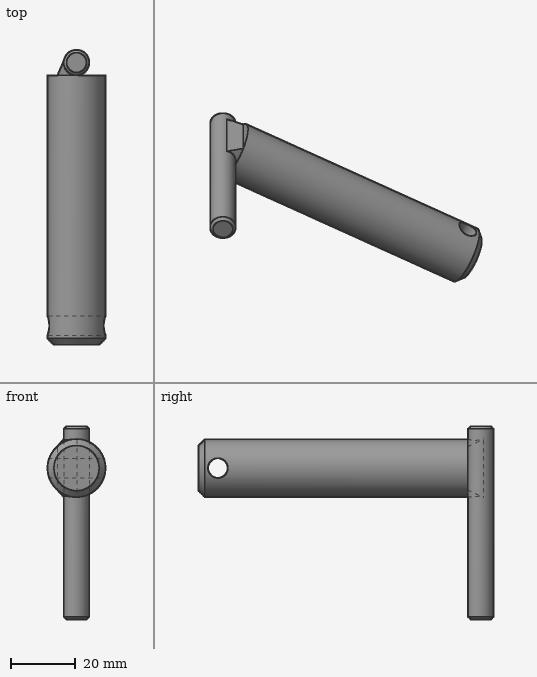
import cadquery as cq
import math

total_length = 91.5
pin_diameter = 18.0
pin_chamfer = 2.0
cross_hole_diameter = 6.0
cross_hole_end_distance = 6.0
handle_diameter = 8.0
handle_length = 60.0
handle_chamfer = 0.9
handle_above_pin = 4.0
weld_width = 5.95
weld_depth = 4.7

pin_radius = pin_diameter / 2
pin_length = total_length - handle_diameter
handle_radius = handle_diameter / 2
handle_top = pin_radius + handle_above_pin


def make_pin():
    """Round pin along Y with a chamfered front end and a cross hole along X."""
    pin = cq.Workplane("XZ").circle(pin_radius).extrude(pin_length)
    pin = pin.faces("<Y").chamfer(pin_chamfer)
    hole = (
        cq.Workplane("YZ")
        .center(cross_hole_end_distance - pin_length, 0)
        .circle(cross_hole_diameter / 2)
        .extrude(pin_radius, both=True)
    )
    return pin.cut(hole)


def make_handle():
    """Vertical rod, chamfered at both ends, touching the rear end of the pin."""
    return (
        cq.Workplane("XY", origin=(0, handle_radius, handle_top - handle_length))
        .circle(handle_radius)
        .extrude(handle_length)
        .faces("<Z or >Z")
        .chamfer(handle_chamfer)
    )


def pyramid(base, apex):
    """Solid that narrows in straight lines from a closed base wire to an apex point."""
    tip = cq.Vertex.makeVertex(*apex)
    return cq.Workplane(obj=cq.occ_impl.shapes.loft(base, tip, cap=True, ruled=True))


def make_weld(handle):
    """Weld filling the corner beside the handle.

    Its foot on the pin end follows the pin's round edge. From there it narrows to
    a straight vertical edge on the handle, as tall as the pin diameter.
    """
    foot_height = math.sqrt(pin_radius**2 - weld_width**2)
    arc_middle_angle = math.asin(weld_width / pin_radius) / 2
    arc_middle = (-pin_radius * math.sin(arc_middle_angle), pin_radius * math.cos(arc_middle_angle))
    edge_x = -math.sqrt(handle_radius**2 - (weld_depth - handle_radius) ** 2)

    edge_top = (edge_x, weld_depth, pin_radius)
    half_foot = (
        cq.Workplane("XZ")
        .lineTo(-weld_width, 0)
        .lineTo(-weld_width, foot_height)
        .threePointArc(arc_middle, (0, pin_radius))
        .close()
        .val()
    )
    middle_section = (
        cq.Workplane("XY").polyline([(0, 0), (-weld_width, 0), (edge_x, weld_depth)]).close().val()
    )
    upper_half = pyramid(half_foot, edge_top).union(pyramid(middle_section, edge_top))
    lower_half = upper_half.mirror("XY")
    return upper_half.union(lower_half).clean().cut(handle)


pin = make_pin()
handle = make_handle()
weld = make_weld(handle)

result = cq.Compound.makeCompound([pin.val(), handle.val(), *weld.solids().vals()])